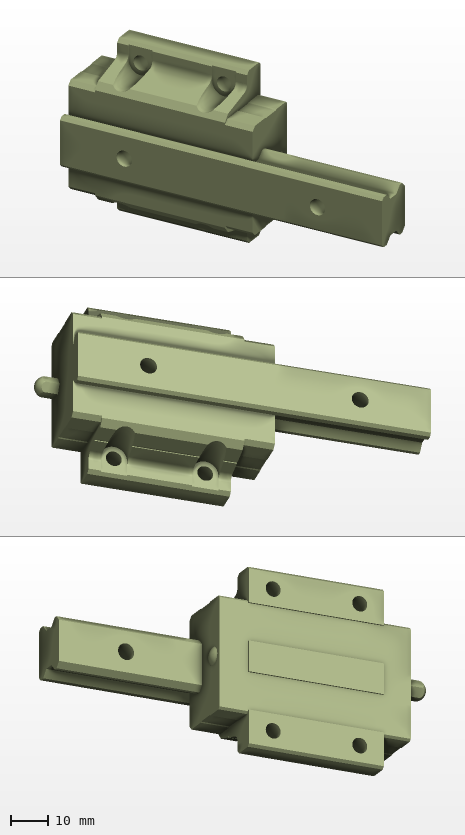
import cadquery as cq
import math


rail_length = 99.9
rail_height = 12.5
rail_half_width = 7.5
neck_half_width = 5.5
neck_depth = rail_half_width - neck_half_width
neck_bottom = 4.6
neck_top = 7.7
rail_base_chamfer = 0.8
rail_head_chamfer = 1.6
rail_hole_diameter = 4.8
rail_hole_first = 19.9
rail_hole_pitch = 59.9

carriage_bottom = neck_bottom
carriage_top = 24.0
flange_start = 8.3
flange_length = 40.3
flange_half_width = 26.0
flange_underside = 16.7
flange_outer_chamfer = 0.7
flange_lower_chamfer = 1.1
foot_half_width = 15.8
flank_foot_half_width = 17.8
flank_foot_height = 6.3
flank_angle = math.radians(15)
flank_fillet = 2.0

datum_groove_height = 11.0
datum_groove_width = 0.6
datum_groove_depth = 0.3

cap_setback = 0.5
groove_inner = 4.5
groove_outer = 15.5

mount_hole_diameter = 4.5
mount_half_pitch_x = 12.9
mount_half_pitch_z = 20.5
spot_face_diameter = 7.4
spot_face_height = 16.9

carriage_length = 57.2
cap_half_width = 16.4
cap_top = carriage_top - cap_setback
cap_top_chamfer = 0.6
cap_bottom_chamfer = 1.3
waist_bottom = 11.6
waist_top = 17.6
waist_depth = 0.2
waist_ramp = 0.3

nipple_length = 6.2
nipple_flats = 5.0
nipple_tip_radius = 3.0
nipple_height = 19.4
plug_diameter = 5.3
plug_length = 1.1


def symmetric_prism(half_outline, start, length):
    """Extrude along X a (height, half width) outline mirrored about the XY plane."""
    mirrored = [(y, -z) for y, z in reversed(half_outline)]
    return (
        cq.Workplane("YZ", origin=(start, 0, 0))
        .polyline(half_outline + mirrored)
        .close()
        .extrude(length)
    )


def rail_prism():
    half_outline = [
        (0, rail_half_width - rail_base_chamfer),
        (rail_base_chamfer, rail_half_width),
        (neck_bottom - neck_depth, rail_half_width),
        (neck_bottom, neck_half_width),
        (neck_top, neck_half_width),
        (neck_top + neck_depth, rail_half_width),
        (rail_height - rail_head_chamfer, rail_half_width),
        (rail_height, rail_half_width - rail_head_chamfer),
    ]
    return symmetric_prism(half_outline, 0, rail_length)


def cylinder_up(diameter, x, bottom, z, height):
    """Cylinder standing along +Y."""
    base = cq.Vector(x, bottom, z)
    return cq.Workplane(cq.Solid.makeCylinder(diameter / 2, height, base, cq.Vector(0, 1, 0)))


def make_rail():
    rail = rail_prism()
    for x in (rail_hole_first, rail_hole_first + rail_hole_pitch):
        rail = rail.cut(cylinder_up(rail_hole_diameter, x, 0, 0, rail_height))
    return rail


def flank_half_width(height):
    """Half width of the sloping flank at the given height."""
    return flank_foot_half_width + (height - flank_foot_height) * math.tan(flank_angle)


def flanged_body():
    corner_half_width = flank_half_width(flange_underside)
    half_outline = [
        (carriage_bottom, foot_half_width),
        (flank_foot_height, flank_foot_half_width),
        (flange_underside, corner_half_width),
        (flange_underside, flange_half_width - flange_lower_chamfer),
        (flange_underside + flange_lower_chamfer, flange_half_width),
        (carriage_top - flange_outer_chamfer, flange_half_width),
        (carriage_top, flange_half_width - flange_outer_chamfer),
        (carriage_top, groove_outer),
        (carriage_top - cap_setback, groove_outer),
        (carriage_top - cap_setback, groove_inner),
        (carriage_top, groove_inner),
    ]
    body = symmetric_prism(half_outline, flange_start, flange_length)
    middle = flange_start + flange_length / 2
    for side in (-1, 1):
        corner = cq.selectors.NearestToPointSelector((middle, flange_underside, side * corner_half_width))
        body = body.edges(corner).fillet(flank_fillet)
    return body


def mounting_cutters():
    """Through holes, and open-sided spot faces that clear the screw heads below the flanges."""
    middle = flange_start + flange_length / 2
    spot_depth = spot_face_height - carriage_bottom
    slot_length = flange_half_width - mount_half_pitch_z
    cutters = []
    for x in (middle - mount_half_pitch_x, middle + mount_half_pitch_x):
        for side in (-1, 1):
            z = side * mount_half_pitch_z
            cutters.append(cylinder_up(mount_hole_diameter, x, carriage_bottom, z, carriage_top))
            cutters.append(cylinder_up(spot_face_diameter, x, carriage_bottom, z, spot_depth))
            slot_center = (x, carriage_bottom + spot_depth / 2, z + side * slot_length / 2)
            slot = cq.Workplane("XY").box(spot_face_diameter, spot_depth, slot_length)
            cutters.append(slot.translate(slot_center))
    return cutters


def datum_groove():
    surface_z = -flank_half_width(datum_groove_height)
    strip = cq.Workplane("XY").box(flange_length, datum_groove_width, 2 * datum_groove_depth)
    strip = strip.rotate((0, 0, 0), (1, 0, 0), math.degrees(-flank_angle))
    return strip.translate((flange_start + flange_length / 2, datum_groove_height, surface_z))


def end_cap(start, length):
    waist_half_width = cap_half_width - waist_depth
    half_outline = [
        (carriage_bottom, cap_half_width - cap_bottom_chamfer),
        (carriage_bottom + cap_bottom_chamfer, cap_half_width),
        (waist_bottom, cap_half_width),
        (waist_bottom + waist_ramp, waist_half_width),
        (waist_top - waist_ramp, waist_half_width),
        (waist_top, cap_half_width),
        (cap_top - cap_top_chamfer, cap_half_width),
        (cap_top, cap_half_width - cap_top_chamfer),
    ]
    return symmetric_prism(half_outline, start, length)


def grease_nipple():
    """Hexagonal nipple, corners along Y, with a spherical tip."""
    across_corners = nipple_flats / math.cos(math.pi / 6)
    hexagon = (
        cq.Workplane("YZ", origin=(0, nipple_height, 0))
        .polygon(6, across_corners)
        .extrude(-nipple_length)
    )
    sphere_center = nipple_tip_radius - nipple_length
    envelope = (
        cq.Workplane("YZ", origin=(sphere_center, nipple_height, 0))
        .circle(nipple_tip_radius)
        .extrude(-sphere_center)
        .union(cq.Workplane("XY").sphere(nipple_tip_radius).translate((sphere_center, nipple_height, 0)))
    )
    return hexagon.intersect(envelope)


def end_plug():
    """Shallow dome standing on the end face, revolved about its own X axis."""
    plug_radius = plug_diameter / 2
    dome_radius = (plug_radius**2 + plug_length**2) / (2 * plug_length)
    return (
        cq.Workplane("XY", origin=(carriage_length, nipple_height, 0))
        .moveTo(0, 0)
        .lineTo(plug_length, 0)
        .radiusArc((0, plug_radius), -dome_radius)
        .close()
        .revolve(360, (0, 0, 0), (1, 0, 0))
    )


def make_carriage():
    flange_end = flange_start + flange_length
    body = flanged_body()
    for cutter in mounting_cutters():
        body = body.cut(cutter)
    body = body.cut(datum_groove())
    body = body.union(end_cap(0, flange_start))
    body = body.union(end_cap(flange_end, carriage_length - flange_end))
    body = body.cut(rail_prism())
    return body.union(grease_nipple()).union(end_plug())


rail = make_rail()
carriage = make_carriage()

result = cq.Compound.makeCompound([rail.solids().val(), carriage.solids().val()])